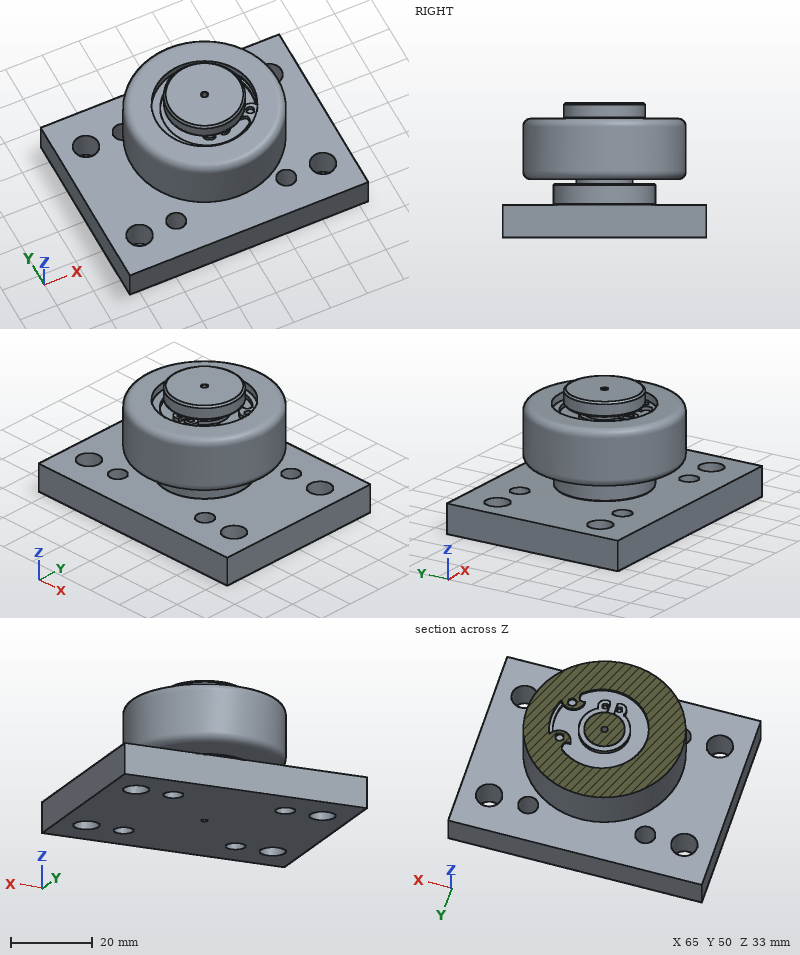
import cadquery as cq

plate_length = 65.0
plate_width = 50.0
plate_thickness = 8.0
large_hole_diameter = 6.5
large_hole_spacing_x = 50.0
small_hole_diameter = 4.95
small_hole_spacing_x = 30.0
hole_spacing_y = 30.0

roller_diameter = 40.0
roller_height = 14.95
roller_bottom = 14.25
roller_fillet = 2.0
roller_top = roller_bottom + roller_height

mouth_diameter = 26.0
groove_diameter = 27.2
floor_diameter = 25.5
mouth_depth = 2.0
bore_ring_thickness = 1.0
floor_gap = 0.5
bore_ring_top = roller_top - mouth_depth
bore_ring_bottom = bore_ring_top - bore_ring_thickness
recess_floor = bore_ring_bottom - floor_gap

opening_radius = 11.45
opening_offset = 0.65
bore_lug_radius = 3.0
bore_lug_x = 9.8
bore_lug_y = 6.3
bore_lug_hole_diameter = 2.0
bore_lug_hole_x = 9.9
bore_lug_hole_y = 5.3
lug_root_x = 8.5
lug_root_fillet = 1.0

total_height = 33.0
flange_diameter = 25.0
flange_height = 5.2
flange_chamfer = 0.3
neck_diameter = 14.0
shaft_diameter = 10.0
head_diameter = 20.0
head_height = 4.0
head_chamfer = 0.5
pin_bore_diameter = 1.5
pin_bore_chamfer = 0.1

shaft_ring_diameter = 12.75
shaft_ring_thickness = 1.0
shaft_lug_radius = 1.75
shaft_lug_x = 1.8
shaft_lug_y = -6.55
shaft_lug_hole_diameter = 1.5
shaft_ring_gap = 1.8


def cylinder(diameter, bottom, top):
    return cq.Workplane("XY").workplane(offset=bottom).circle(diameter / 2).extrude(top - bottom)


def discs(points, diameter, bottom, top):
    plane = cq.Workplane("XY").workplane(offset=bottom)
    return plane.pushPoints(points).circle(diameter / 2).extrude(top - bottom)


def block(start_x, length, width, bottom, top):
    """Block centred on the XZ plane, running from start_x towards +X."""
    shape = cq.Workplane("XY").box(length, width, top - bottom, centered=(False, True, False))
    return shape.translate((start_x, 0, bottom))


def make_plate():
    plate = cq.Workplane("XY").box(plate_length, plate_width, plate_thickness, centered=(True, True, False))
    for diameter, spacing_x in (
        (large_hole_diameter, large_hole_spacing_x),
        (small_hole_diameter, small_hole_spacing_x),
    ):
        plate = plate.faces(">Z").workplane().rarray(spacing_x, hole_spacing_y, 2, 2).hole(diameter)
    return plate


def make_roller():
    roller = cylinder(roller_diameter, roller_bottom, roller_top).edges().fillet(roller_fillet)
    roller = roller.cut(cylinder(mouth_diameter, bore_ring_bottom, roller_top))
    roller = roller.cut(cylinder(groove_diameter, bore_ring_bottom, bore_ring_top))
    return roller.cut(cylinder(floor_diameter, recess_floor, bore_ring_bottom))


def make_bore_ring():
    levels = (bore_ring_bottom, bore_ring_top)
    ring = cylinder(groove_diameter, *levels)
    lugs = discs([(bore_lug_x, bore_lug_y), (bore_lug_x, -bore_lug_y)], 2 * bore_lug_radius, *levels)
    hole_points = [(bore_lug_hole_x, bore_lug_hole_y), (bore_lug_hole_x, -bore_lug_hole_y)]
    holes = discs(hole_points, bore_lug_hole_diameter, *levels)

    strip = block(bore_lug_x - bore_lug_radius, groove_diameter, 2 * bore_lug_y, *levels)
    gap = strip.cut(lugs)

    opening = cylinder(2 * opening_radius, *levels).translate((opening_offset, 0, 0))
    opening = opening.cut(block(lug_root_x, groove_diameter, 2 * groove_diameter, *levels)).cut(strip)
    opening = opening.edges("|Z and >X").fillet(lug_root_fillet)
    return ring.cut(opening).cut(gap).cut(holes)


def make_shaft_ring():
    levels = (recess_floor, recess_floor + shaft_ring_thickness)
    lug_points = [(shaft_lug_x, shaft_lug_y), (-shaft_lug_x, shaft_lug_y)]
    ring = cylinder(shaft_ring_diameter, *levels)
    for point in lug_points:
        ring = ring.union(discs([point], 2 * shaft_lug_radius, *levels))
    gap = block(-shaft_ring_gap / 2, shaft_ring_gap, shaft_ring_diameter, *levels)
    gap = gap.translate((0, -shaft_ring_diameter / 2, 0))
    return ring.cut(gap).cut(discs(lug_points, shaft_lug_hole_diameter, *levels))


def make_pin():
    flange_top = plate_thickness + flange_height
    head_bottom = total_height - head_height
    flange = cylinder(flange_diameter, plate_thickness, flange_top).edges().chamfer(flange_chamfer)
    neck = cylinder(neck_diameter, flange_top, recess_floor)
    shaft = cylinder(shaft_diameter, recess_floor, head_bottom)
    head = cylinder(head_diameter, head_bottom, total_height).edges().chamfer(head_chamfer)
    return flange.union(neck).union(shaft).union(head)


def drill_pin_bore(body):
    body = body.cut(cylinder(pin_bore_diameter, 0, total_height))
    rim = cq.selectors.RadiusNthSelector(0)
    return body.faces(">Z").edges(rim).chamfer(pin_bore_chamfer)


assembly = make_plate().union(make_roller()).union(make_pin())
assembly = assembly.union(make_bore_ring()).union(make_shaft_ring())
result = drill_pin_bore(assembly)